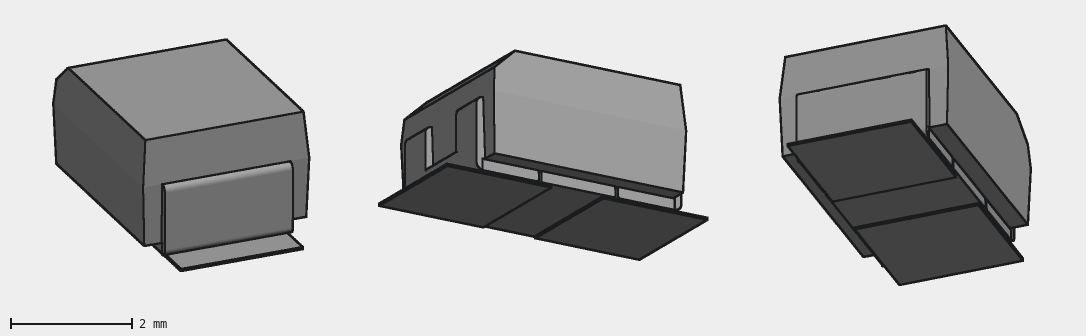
import cadquery as cq
import math

body_length = 3.70
body_width = 3.00
body_bottom = 0.24
parting_height = 1.32
body_top = 2.14
upper_draft = 5.0
lower_draft = 2.0
body_offset_x = 0.008

bevel_drop = 0.375
bevel_top_x = -1.40

pad_outer_x = 2.50
pad_inner_x = 0.50
pad_width = 2.20
pad_thickness = 0.04

lead_thickness = 0.12
lead_width = 2.31
lead_bend_radius = lead_thickness
lead_outer_x = body_length / 2 + lead_thickness
foot_inner_x = 0.76
foot_width = 2.28
foot_tip_radius = 0.04

notch_width = 1.00
notch_bottom = 0.54

standoff_length = 1.42
standoff_width = foot_width


def slab(x_start, x_end, width, z_start, z_end):
    """Box between two X and two Z limits, centred on Y = 0."""
    return (
        cq.Workplane("XY", origin=((x_start + x_end) / 2, 0, z_start))
        .rect(x_end - x_start, width)
        .extrude(z_end - z_start)
    )


def make_body_half(height, draft):
    """Half body drawn from the parting plane; a negative height runs downwards."""
    return (
        cq.Workplane("XY", origin=(0, 0, parting_height))
        .rect(body_length, body_width)
        .extrude(height, taper=draft)
    )


def make_body():
    upper = make_body_half(body_top - parting_height, upper_draft)
    lower = make_body_half(body_bottom - parting_height, lower_draft)
    return upper.union(lower).cut(make_bevel()).translate((body_offset_x, 0, 0))


def make_bevel():
    """Triangular prism removed from the top -X edge."""
    bevel_bottom = body_top - bevel_drop
    bevel_low_x = -body_length / 2 + (bevel_bottom - parting_height) * math.tan(math.radians(upper_draft))
    slope = bevel_drop / (bevel_top_x - bevel_low_x)
    overrun = body_length / 2 + bevel_low_x
    return (
        cq.Workplane("XZ")
        .moveTo(bevel_top_x, body_top)
        .lineTo(bevel_low_x - overrun, bevel_bottom - overrun * slope)
        .lineTo(bevel_low_x - overrun, body_top)
        .close()
        .extrude(body_width / 2, both=True)
    )


def make_pad():
    return slab(-pad_outer_x, -pad_inner_x, pad_width, 0, pad_thickness)


def make_lead():
    """Lead on the -X side: an upright against the body end and a foot beneath the body."""
    lower_inset = (parting_height - body_bottom) * math.tan(math.radians(lower_draft))
    body_end_x = -body_length / 2
    upright_inner_x = body_end_x + lower_inset + body_offset_x
    upright = (
        cq.Workplane("XZ")
        .moveTo(body_end_x, pad_thickness)
        .radiusArc((-lead_outer_x, pad_thickness + lead_bend_radius), lead_bend_radius)
        .lineTo(-lead_outer_x, parting_height - lead_bend_radius)
        .radiusArc((body_end_x, parting_height), lead_bend_radius)
        .lineTo(upright_inner_x, parting_height)
        .lineTo(upright_inner_x, body_bottom)
        .lineTo(body_end_x, body_bottom)
        .close()
        .extrude(lead_width / 2, both=True)
    )
    foot = slab(body_end_x, -foot_inner_x, foot_width, pad_thickness, body_bottom)
    foot = foot.edges("|Y and >X and <Z").fillet(foot_tip_radius)
    return upright.union(foot)


def make_notch():
    return slab(-lead_outer_x, 0, notch_width, notch_bottom, parting_height)


def make_standoff():
    half_length = standoff_length / 2
    return slab(-half_length, half_length, standoff_width, pad_thickness, body_bottom)


plain_lead = make_lead()
notched_lead = plain_lead.cut(make_notch())
pad = make_pad()

result = (
    make_body()
    .union(make_standoff())
    .union(notched_lead)
    .union(plain_lead.mirror("YZ"))
    .union(pad)
    .union(pad.mirror("YZ"))
)